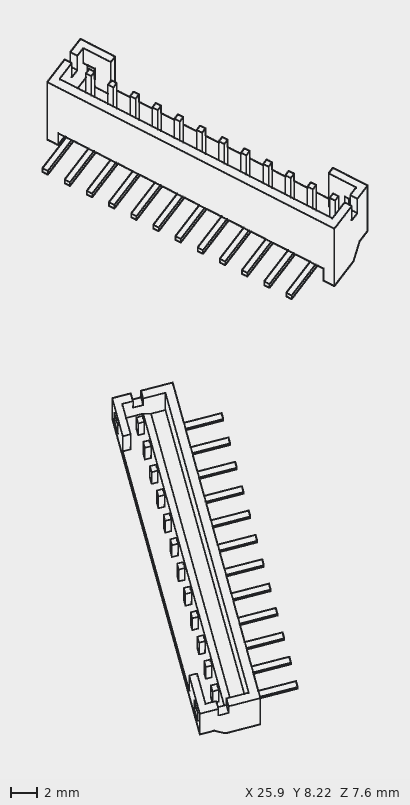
import cadquery as cq

LENGTH = 25.9
DEPTH = 4.8
HEIGHT = 7.6

FOOT_HEIGHT = 1.58
FOOT_WIDTH = 0.98
FOOT_DEPTH_BOTTOM = 2.77
FOOT_DEPTH_TOP = 3.65

SIDE_WALL = 0.65
FRONT_WALL = 0.75
REAR_WALL = 0.62
CAVITY_LENGTH = LENGTH - 2 * SIDE_WALL
FLOOR_Z = HEIGHT - 4.35
SLOPE_RUN = 0.62

REAR_TAB = 3.13
SLOT_WIDTH = 0.8
SLOT_DEPTH = 1.9
SLOT_Y = 2.5
WINDOW_WIDTH = 1.04
WINDOW_DROP = 2.0

PIN_COUNT = 12
PIN_ROW_LENGTH = 22.0
PIN_PITCH = PIN_ROW_LENGTH / (PIN_COUNT - 1)
PIN_SIZE = 0.5
PIN_Y = 3.08
PIN_TIP_Z = HEIGHT - 0.95
LEAD_REACH = 3.42


def box(x_range, y_range, z_range):
    """Box spanning the given (low, high) ranges."""
    lows = [r[0] for r in (x_range, y_range, z_range)]
    sizes = [r[1] - r[0] for r in (x_range, y_range, z_range)]
    return cq.Workplane("XY").box(*sizes, centered=False).translate(tuple(lows))


def extrude_side_profile(points, length):
    """Extrude a (Y, Z) outline along X, centred on X = 0."""
    return cq.Workplane("YZ").polyline(points).close().extrude(length / 2, both=True)


def housing_block():
    """Solid housing with a foot at each end."""
    block = extrude_side_profile(
        [
            (0, 0),
            (FOOT_DEPTH_BOTTOM, 0),
            (FOOT_DEPTH_TOP, FOOT_HEIGHT),
            (DEPTH, FOOT_HEIGHT),
            (DEPTH, HEIGHT),
            (0, HEIGHT),
        ],
        LENGTH,
    )
    half_gap = LENGTH / 2 - FOOT_WIDTH
    return block.cut(box((-half_gap, half_gap), (0, DEPTH), (0, FOOT_HEIGHT)))


def cavity():
    """Mating cavity: floor at the pins, dropping at 45 degrees to a trough along the front wall."""
    trough_z = FLOOR_Z - SLOPE_RUN
    return extrude_side_profile(
        [
            (FRONT_WALL, HEIGHT),
            (FRONT_WALL, trough_z),
            (SLOT_Y - SLOPE_RUN, trough_z),
            (SLOT_Y, FLOOR_Z),
            (DEPTH - REAR_WALL, FLOOR_Z),
            (DEPTH - REAR_WALL, HEIGHT),
        ],
        CAVITY_LENGTH,
    )


def wall_openings():
    """Rear opening between the tabs, side-wall slots and rear corner windows."""
    half_opening = LENGTH / 2 - REAR_TAB
    half_cavity = CAVITY_LENGTH / 2
    rear = (DEPTH - REAR_WALL, DEPTH)
    slot_y = (SLOT_Y, SLOT_Y + SLOT_WIDTH)
    window_z = (FLOOR_Z, HEIGHT - WINDOW_DROP)
    window_inner_x = half_cavity - WINDOW_WIDTH

    openings = box((-half_opening, half_opening), rear, (FLOOR_Z, HEIGHT))
    openings = openings.union(box((-LENGTH / 2, LENGTH / 2), slot_y, (HEIGHT - SLOT_DEPTH, HEIGHT)))
    openings = openings.union(box((window_inner_x, half_cavity), rear, window_z))
    return openings.union(box((-half_cavity, -window_inner_x), rear, window_z))


def pin(x):
    """Upright contact joined to a lead that runs forward under the housing."""
    lead_bottom = FOOT_HEIGHT - PIN_SIZE
    x_range = (x - PIN_SIZE / 2, x + PIN_SIZE / 2)
    y_back = PIN_Y + PIN_SIZE / 2
    upright = box(x_range, (y_back - PIN_SIZE, y_back), (lead_bottom, PIN_TIP_Z))
    lead = box(x_range, (-LEAD_REACH, y_back), (lead_bottom, FOOT_HEIGHT))
    return upright.union(lead)


result = housing_block().cut(cavity()).cut(wall_openings())

for index in range(PIN_COUNT):
    result = result.union(pin(index * PIN_PITCH - PIN_ROW_LENGTH / 2))